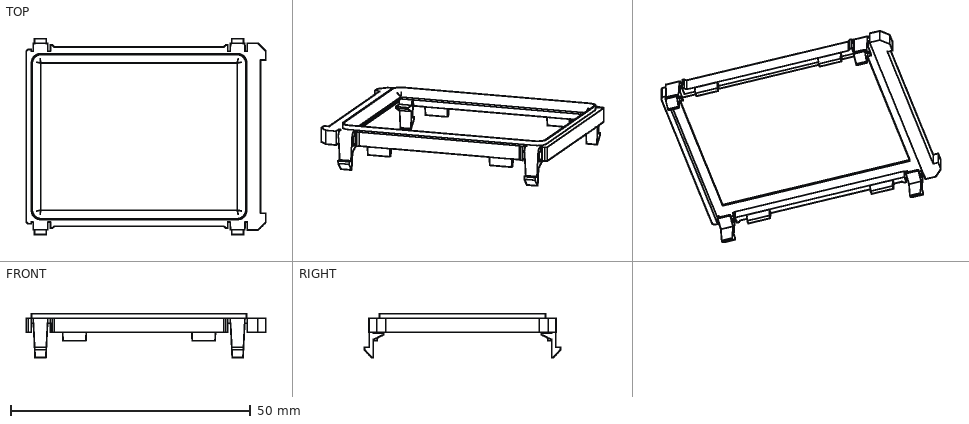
import cadquery as cq


WINDOW_X = 41.0
WINDOW_Y = 30.7
LIP_MARGIN = 2.0
LIP_HEIGHT = 0.9
LIP_RIM = 0.2
WINDOW_LAND = 0.4
PLATE_THICKNESS = 1.1
PLATE_HALF_Y = 17.85
LIP_X = WINDOW_X + 2 * LIP_MARGIN
LIP_Y = WINDOW_Y + 2 * LIP_MARGIN

WALL = 1.1
WALL_HEIGHT = 3.0
LEFT_X = -LIP_X / 2 - WALL
LEFT_WALL_HALF_Y = 18.25
LEFT_WALL_CHAMFER = 0.4
SIDE_WALL_HALF_X = 18.55
SIDE_WALL_OUTER_Y = 18.75
END_TAB_RISE = 0.4
END_TAB_LENGTH = 0.4
END_TAB_RAMP = 0.45

RIGHT_X = 26.5
BEAM_INNER_X = 22.6
BEAM_OUTER_X = 25.4
LUG_OUTER_Y = 19.55
LUG_INNER_Y = 16.0
LUG_CHAMFER = 1.65

CLIP_X = 20.6
CLIP_TOP_WIDTH = 3.1
CLIP_FOOT_WIDTH = 2.3
LEG_OUTER_Y = 19.5
LEG_THICKNESS = 0.9
CLIP_BOTTOM_Z = -8.25
BARB_TIP_Y = 20.5
BARB_TOP_Z = -6.1
BARB_TIP_HEIGHT = 0.55
FOOT_OUTER_Y = 19.0
CATCH_TIP_Y = 16.45
CATCH_TOP_Z = -3.15
CATCH_TIP_HEIGHT = 0.35
CATCH_ROOT_Z = -4.5

PAD_INNER_X = 11.0
PAD_OUTER_X = 16.0
PAD_THICKNESS = 1.0
PAD_HEIGHT = 1.8
PAD_DRAFT = 3.0


def block(x_min, x_max, y_min, y_max, z_min, z_max):
    return cq.Workplane("XY").box(
        x_max - x_min, y_max - y_min, z_max - z_min, centered=False
    ).translate((x_min, y_min, z_min))


def both_sides(shape):
    return shape.union(shape.mirror("XZ"))


def plate_and_lip():
    plate = block(LEFT_X, BEAM_OUTER_X, -PLATE_HALF_Y, PLATE_HALF_Y, -PLATE_THICKNESS, 0)
    lip = cq.Workplane("XY").rect(LIP_X, LIP_Y).extrude(LIP_HEIGHT).edges("|Z").fillet(LIP_MARGIN)
    return plate.union(lip)


def flared_section(plane, width, flare, z_foot, z_top, length):
    """Prism whose sides lean outward by `flare` between z_foot and z_top."""
    half = width / 2
    points = [(-half, z_foot), (half, z_foot), (half + flare, z_top), (-half - flare, z_top)]
    return cq.Workplane(plane).polyline(points).close().extrude(length / 2, both=True)


def window_cut():
    """Straight opening with sides that flare upward and meet in corner cones."""
    flare = LIP_MARGIN - LIP_RIM
    z_foot = WINDOW_LAND - PLATE_THICKNESS
    cut = cq.Workplane("XY").workplane(offset=-PLATE_THICKNESS).rect(WINDOW_X, WINDOW_Y).extrude(
        PLATE_THICKNESS + LIP_HEIGHT
    )
    cut = cut.union(flared_section("XZ", WINDOW_X, flare, z_foot, LIP_HEIGHT, WINDOW_Y))
    cut = cut.union(flared_section("YZ", WINDOW_Y, flare, z_foot, LIP_HEIGHT, WINDOW_X))
    for x in (-WINDOW_X / 2, WINDOW_X / 2):
        for y in (-WINDOW_Y / 2, WINDOW_Y / 2):
            cone = cq.Solid.makeCone(0, flare, LIP_HEIGHT - z_foot, pnt=cq.Vector(x, y, z_foot))
            cut = cut.union(cq.Workplane(cone))
    return cut


def left_wall():
    wall = block(LEFT_X, LEFT_X + WALL, -LEFT_WALL_HALF_Y, LEFT_WALL_HALF_Y, -WALL_HEIGHT, 0)
    return wall.edges("|Z and <X").chamfer(LEFT_WALL_CHAMFER)


def side_wall():
    """Wall on the +Y side, with a ramped outward step at each end."""
    end = SIDE_WALL_HALF_X
    tab = end - END_TAB_LENGTH
    ramp = tab - END_TAB_RAMP
    inner_y = SIDE_WALL_OUTER_Y - WALL
    tab_y = SIDE_WALL_OUTER_Y + END_TAB_RISE
    points = [
        (-end, inner_y),
        (end, inner_y),
        (end, tab_y),
        (tab, tab_y),
        (ramp, SIDE_WALL_OUTER_Y),
        (-ramp, SIDE_WALL_OUTER_Y),
        (-tab, tab_y),
        (-end, tab_y),
    ]
    return cq.Workplane("XY").polyline(points).close().extrude(-WALL_HEIGHT)


def right_beam():
    return block(BEAM_INNER_X, BEAM_OUTER_X, -LUG_INNER_Y, LUG_INNER_Y, -WALL_HEIGHT, 0)


def lug():
    body = block(BEAM_INNER_X, RIGHT_X, LUG_INNER_Y, LUG_OUTER_Y, -WALL_HEIGHT, 0)
    return body.edges("|Z and >X and >Y").chamfer(LUG_CHAMFER)


def clip(x):
    """Leg hanging from the plate, with an outward barb and an inward catch."""
    leg_inner_y = LEG_OUTER_Y - LEG_THICKNESS
    bend = PLATE_THICKNESS
    profile = (
        cq.Workplane("YZ")
        .moveTo(LIP_Y / 2, 0)
        .lineTo(LEG_OUTER_Y - bend, 0)
        .radiusArc((LEG_OUTER_Y, -bend), bend)
        .lineTo(LEG_OUTER_Y, BARB_TOP_Z)
        .lineTo(BARB_TIP_Y, BARB_TOP_Z)
        .lineTo(BARB_TIP_Y, BARB_TOP_Z - BARB_TIP_HEIGHT)
        .lineTo(FOOT_OUTER_Y, CLIP_BOTTOM_Z)
        .lineTo(leg_inner_y, CLIP_BOTTOM_Z)
        .lineTo(leg_inner_y, CATCH_ROOT_Z)
        .lineTo(CATCH_TIP_Y, CATCH_TOP_Z - CATCH_TIP_HEIGHT)
        .lineTo(CATCH_TIP_Y, CATCH_TOP_Z)
        .lineTo(leg_inner_y, CATCH_TOP_Z)
        .lineTo(leg_inner_y, -PLATE_THICKNESS)
        .lineTo(LIP_Y / 2, -PLATE_THICKNESS)
        .close()
        .extrude(CLIP_TOP_WIDTH / 2, both=True)
    )
    half_top = CLIP_TOP_WIDTH / 2
    half_foot = CLIP_FOOT_WIDTH / 2
    taper = (
        cq.Workplane("XZ")
        .polyline([
            (-half_top, 0),
            (half_top, 0),
            (half_foot, CLIP_BOTTOM_Z),
            (-half_foot, CLIP_BOTTOM_Z),
        ])
        .close()
        .extrude(-BARB_TIP_Y)
    )
    return profile.intersect(taper).translate((x, 0, 0))


def pad(x):
    return (
        cq.Workplane("XY", origin=(x, SIDE_WALL_OUTER_Y - WALL / 2, -WALL_HEIGHT))
        .rect(PAD_OUTER_X - PAD_INNER_X, PAD_THICKNESS)
        .extrude(-PAD_HEIGHT, taper=PAD_DRAFT)
    )


result = plate_and_lip().union(left_wall()).union(right_beam())
result = result.union(both_sides(side_wall())).union(both_sides(lug()))
for side in (-1, 1):
    result = result.union(both_sides(clip(side * CLIP_X)))
    result = result.union(both_sides(pad(side * (PAD_INNER_X + PAD_OUTER_X) / 2)))
result = result.cut(window_cut())